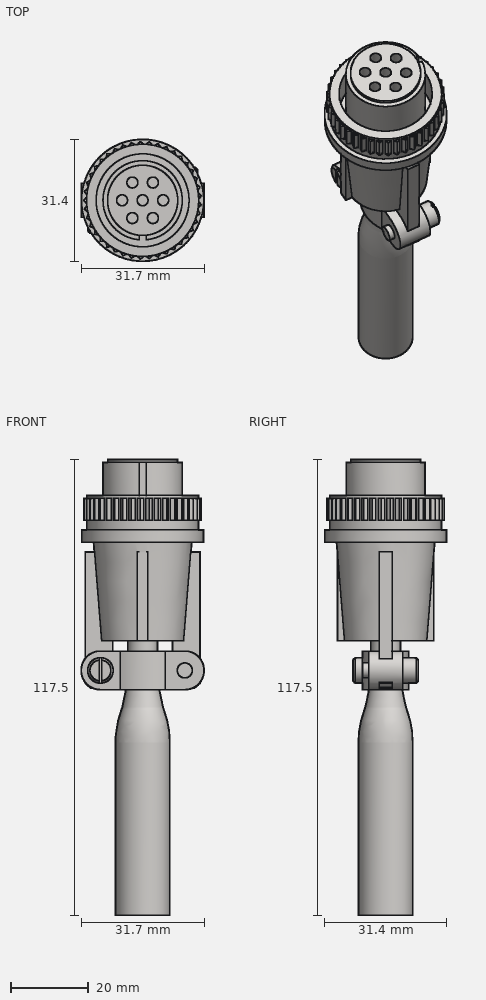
import cadquery as cq
import math

total_height = 117.5
shoulder_z = 116.7
ring_top_z = 108.2
knurl_top_z = 107.4
knurl_bottom_z = 101.8
flange_top_z = 99.3
flange_bottom_z = 96.1
rib_top_z = 93.7
shell_bottom_z = 70.8
clamp_z = 63.1
cable_shoulder_z = 44.5

insert_radius = 10.2
insert_face_radius = 9.0
key_width = 1.8
hole_diameter = 2.8
hole_circle_radius = 5.3
hole_count = 6
hole_depth = 5.9

ring_radius = 14.5
ring_bore_radius = 12.0
knurl_radius = 15.2
ridge_count = 41
ridge_width = 1.6
first_ridge_angle = 180
flange_radius = 15.7

shell_top_radius = 12.7
shell_bottom_radius = 10.7
rib_reach = 12.5
rib_width = 2.7
arm_width = 3.4
arm_inner_x = 7.6
arm_outer_x = 14.8
arm_tip_overlap = 0.2

clamp_length = 31.7
clamp_height = 10.0
clamp_thickness = 8.8
bulge_length = 11.6
bulge_thickness = 12.0

screw_head_diameter = 6.6
screw_head_end_y = 8.5
screw_head_chamfer = 0.6
screw_shank_diameter = 3.9
screw_shank_end_y = 5.9
driver_slot_width = 0.7
driver_slot_depth = 0.8

neck_radius = 3.9
sheath_start_radius = 4.3
cone_end_radius = 5.3
cone_end_z = 53.6
dome_start_radius = 5.5
dome_start_z = 52.9
sheath_radius = 7.0

clamp_end_radius = clamp_height / 2
clamp_bottom_z = clamp_z - clamp_end_radius
screw_x = clamp_length / 2 - clamp_end_radius


def turned(radius, bottom_z, top_z):
    """Cylinder about the Z axis between two heights."""
    return cq.Workplane("XY").workplane(offset=bottom_z).circle(radius).extrude(top_z - bottom_z)


def centred_box(size_x, size_y, bottom_z, top_z):
    """Box centred on the Z axis between two heights."""
    return cq.Workplane("XY").workplane(offset=bottom_z).rect(size_x, size_y).extrude(top_z - bottom_z)


def contact_insert():
    """Round insert with a keyway on the -Y side and a ring of pin holes round a central one."""
    body = turned(insert_radius, flange_bottom_z, shoulder_z)
    key_depth = insert_radius - insert_face_radius
    keyway = centred_box(key_width, 2 * key_depth, flange_top_z, shoulder_z)
    body = body.cut(keyway.translate((0, -insert_radius, 0)))
    body = body.union(turned(insert_face_radius, flange_bottom_z, total_height))
    holes = (
        cq.Workplane("XY").workplane(offset=total_height - hole_depth)
        .polarArray(hole_circle_radius, 0, 360, hole_count)
        .circle(hole_diameter / 2)
        .extrude(hole_depth)
    )
    centre_hole = turned(hole_diameter / 2, total_height - hole_depth, total_height)
    return body.cut(holes).cut(centre_hole)


def coupling_ring():
    """Open ring with a band of triangular grip ridges."""
    half_angle = math.degrees(math.asin(ridge_width / 2 / ring_radius))
    step = 360 / ridge_count
    outline = []
    for index in range(ridge_count):
        middle = first_ridge_angle + index * step
        corners = (
            (ring_radius, middle - half_angle),
            (knurl_radius, middle),
            (ring_radius, middle + half_angle),
        )
        for radius, degrees in corners:
            angle = math.radians(degrees)
            outline.append((radius * math.cos(angle), radius * math.sin(angle)))
    knurl = (
        cq.Workplane("XY").workplane(offset=knurl_bottom_z)
        .polyline(outline).close()
        .extrude(knurl_top_z - knurl_bottom_z)
    )
    ring = turned(ring_radius, flange_bottom_z, ring_top_z).union(knurl)
    return ring.cut(turned(ring_bore_radius, flange_top_z, ring_top_z))


def shell():
    """Flange and tapered shell with one rib each at front and back."""
    taper = (
        cq.Workplane("XZ")
        .moveTo(0, shell_bottom_z)
        .lineTo(shell_bottom_radius, shell_bottom_z)
        .lineTo(shell_top_radius, flange_bottom_z)
        .lineTo(0, flange_bottom_z)
        .close()
        .revolve(360, (0, 0, 0), (0, 1, 0))
    )
    flange = turned(flange_radius, flange_bottom_z, flange_top_z)
    ribs = centred_box(rib_width, 2 * rib_reach, shell_bottom_z, rib_top_z)
    return taper.union(flange).union(ribs)


def side_arm():
    """Flat arm on the +X side that reaches from the shell through the clamp."""
    tip_drop = math.sqrt(clamp_end_radius**2 - (arm_outer_x - screw_x)**2) + arm_tip_overlap
    tip_inset = clamp_end_radius / 2
    lowest_z = clamp_z - math.sqrt(clamp_end_radius**2 - tip_inset**2) - arm_tip_overlap
    return (
        cq.Workplane("XZ")
        .moveTo(arm_inner_x, rib_top_z)
        .lineTo(arm_outer_x, rib_top_z)
        .lineTo(arm_outer_x, clamp_z - tip_drop)
        .lineTo(screw_x + tip_inset, lowest_z)
        .lineTo(screw_x + tip_inset, clamp_z)
        .lineTo(arm_inner_x, clamp_z)
        .close()
        .extrude(arm_width / 2, both=True)
    )


def clamp():
    """Round-ended clamp bar with a bulge round the cable on both faces."""
    bar = (
        cq.Workplane("XZ", origin=(0, 0, clamp_z))
        .slot2D(clamp_length, clamp_height)
        .extrude(clamp_thickness / 2, both=True)
    )
    half_length = bulge_length / 2
    half_bar = clamp_thickness / 2
    half_bulge = bulge_thickness / 2
    bulge = (
        cq.Workplane("XY").workplane(offset=clamp_bottom_z)
        .moveTo(-half_length, -half_bar)
        .threePointArc((0, -half_bulge), (half_length, -half_bar))
        .lineTo(half_length, half_bar)
        .threePointArc((0, half_bulge), (-half_length, half_bar))
        .close()
        .extrude(clamp_height)
    )
    return bar.union(bulge)


def clamp_screw():
    """Slotted screw on the -X side, with its head toward -Y."""
    head_length = screw_head_end_y - clamp_thickness / 2
    head = (
        cq.Workplane("XZ", origin=(-screw_x, -clamp_thickness / 2, clamp_z))
        .circle(screw_head_diameter / 2)
        .extrude(head_length)
        .faces("<Y").chamfer(screw_head_chamfer)
    )
    slot = cq.Workplane("XY").box(driver_slot_width, 2 * driver_slot_depth, screw_head_diameter)
    head = head.cut(slot.translate((-screw_x, -screw_head_end_y, clamp_z)))
    shank = (
        cq.Workplane("XZ", origin=(-screw_x, screw_shank_end_y, clamp_z))
        .circle(screw_shank_diameter / 2)
        .extrude(screw_shank_end_y + clamp_thickness / 2)
    )
    return head.union(shank)


def cable():
    """Neck through the clamp, then a sheath that widens to its full radius along an arc."""
    rise = dome_start_z - cable_shoulder_z
    widening = sheath_radius - dome_start_radius
    dome_radius = (rise**2 + widening**2) / (2 * widening)
    middle_z = cable_shoulder_z + rise / 2
    middle_radius = sheath_radius - dome_radius + math.sqrt(dome_radius**2 - (rise / 2)**2)
    return (
        cq.Workplane("XZ")
        .moveTo(0, 0)
        .lineTo(sheath_radius, 0)
        .lineTo(sheath_radius, cable_shoulder_z)
        .threePointArc((middle_radius, middle_z), (dome_start_radius, dome_start_z))
        .lineTo(cone_end_radius, cone_end_z)
        .lineTo(sheath_start_radius, clamp_bottom_z)
        .lineTo(neck_radius, clamp_bottom_z)
        .lineTo(neck_radius, shell_bottom_z)
        .lineTo(0, shell_bottom_z)
        .close()
        .revolve(360, (0, 0, 0), (0, 1, 0))
    )


arm = side_arm()
screw = clamp_screw()

result = coupling_ring().union(shell()).union(contact_insert()).union(cable()).union(clamp())
for turn in (0, 180):
    result = result.union(arm.rotate((0, 0, 0), (0, 0, 1), turn))
    result = result.union(screw.rotate((0, 0, 0), (0, 0, 1), turn))